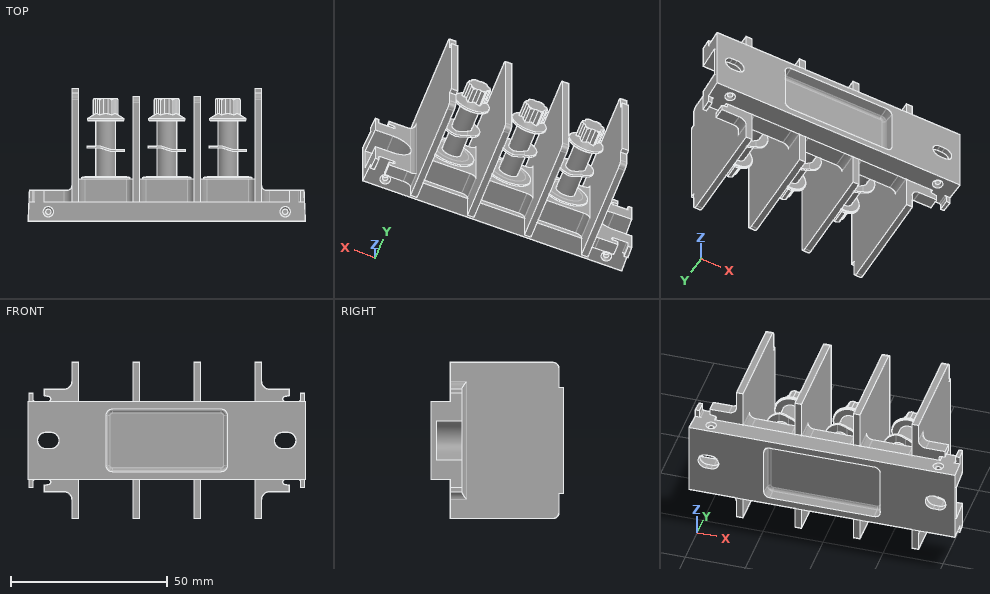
import cadquery as cq
import math


BASE_LENGTH = 88.7
BASE_DEPTH = 6.2
BASE_WIDTH = 25.0
END_DRAFT = 2.5
HALF_WIDTH = BASE_WIDTH / 2

POLE_PITCH = 19.5
POLE_COUNT = 3
BARRIER_THICKNESS = 2.2
BARRIER_WIDTH = 50.0
BARRIER_CORNER_RADIUS = 2.0
INNER_BARRIER_TOP = 40.0
OUTER_BARRIER_TOP = 41.0
TONGUE_TOP = 42.5
TONGUE_WIDTH = 34.0
OUTER_BARRIER_X = POLE_PITCH * POLE_COUNT / 2
OUTER_BARRIER_FACE = OUTER_BARRIER_X + BARRIER_THICKNESS / 2

POLE_BLOCK_TOP = 13.6
POLE_BLOCK_WIDTH = 20.0
POLE_BLOCK_FILLET = 2.0
POLE_GAP = POLE_PITCH - BARRIER_THICKNESS

FOOT_TOP = 10.0
FOOT_TOP_FILLET = 1.5
WING_END = 39.2
WING_Z = 16.4
WING_FILLET = 2.5
HOOK_TIP_Z = 14.3
NOTCH_DEPTH = 1.6
NOTCH_TOP_Z = 14.0
NOTCH_BULGE = 0.5
TAB_INNER_X = 42.7
TAB_Z = 15.1
TAB_FILLET = 0.5

SLOT_X = 37.85
SLOT_LENGTH = 6.8
SLOT_WIDTH = 5.1
RECESS_RADIUS = 6.25
RECESS_FLOOR = 1.9

SIDE_HOLE_DIAMETER = 1.7
SIDE_HOLE_DEPTH = 3.0
SIDE_SINK_DIAMETER = 3.3
SIDE_SINK_ANGLE = 90
SIDE_HOLE_Y = BASE_DEPTH / 2

POCKET_LENGTH = 38.8
POCKET_WIDTH = 20.0
POCKET_DEPTH = 4.0
POCKET_CORNER_RADIUS = 2.0
POCKET_TAPER = 7
POCKET_FLOOR_FILLET = 0.9

SEAT_RADIUS = 7.75
SEAT_CROWN_RADIUS = 5.9
SEAT_RIM_TOP = POLE_BLOCK_TOP + 0.5
SEAT_TOP = POLE_BLOCK_TOP + 0.8
SHANK_RADIUS = 3.2
FLANGE_RADIUS = 5.85
FLANGE_BOTTOM = 32.1
FLANGE_RIM_HEIGHT = 0.8
FLANGE_RIM_CHAMFER = 0.25
FLANGE_CONE_TOP = 34.8
FLANGE_CONE_TOP_RADIUS = 2.8
HEX_RADIUS = 4.0
HEX_SIDES = 6
HEX_APOTHEM = HEX_RADIUS * math.cos(math.pi / HEX_SIDES)
HEAD_TOP = 39.3
HEAD_CHAMFER_RADIAL = 0.3
HEAD_CHAMFER_HEIGHT = 0.5
FLUTE_HALF_WIDTH = 0.67
FLUTE_DEPTH = 0.3
FLUTE_RADIUS = (FLUTE_HALF_WIDTH**2 + FLUTE_DEPTH**2) / (2 * FLUTE_DEPTH)
FLUTE_CENTRE = HEX_APOTHEM - FLUTE_DEPTH + FLUTE_RADIUS

WASHER_RADIUS = 6.0
WASHER_THICKNESS = 0.6
WASHER_UPPER = 24.05
WASHER_LOWER = 22.95
WASHER_STEP_HALF = 1.7


def box(x_limits, y_limits, z_width):
    """Box between two X and two Y values, centred on Z = 0."""
    length = x_limits[1] - x_limits[0]
    depth = y_limits[1] - y_limits[0]
    block = cq.Workplane("XY").box(length, depth, z_width, centered=(False, False, True))
    return block.translate((x_limits[0], y_limits[0], 0))


def cylinder(radius, bottom, top):
    """Cylinder along Y on the line X = Z = 0."""
    return cq.Workplane("XZ", origin=(0, bottom, 0)).circle(radius).extrude(bottom - top)


def both_ends(part):
    """The left-hand feature together with its mirror image at the right-hand end."""
    return part.union(part.mirror("YZ"))


def end_x(y):
    """Distance from X = 0 to the drafted end faces of the base and feet at the given Y."""
    return BASE_LENGTH / 2 - y * math.tan(math.radians(END_DRAFT))


def base_bar():
    """Solid bar with drafted ends."""
    corners = [
        (-end_x(0), 0),
        (end_x(0), 0),
        (end_x(BASE_DEPTH), BASE_DEPTH),
        (-end_x(BASE_DEPTH), BASE_DEPTH),
    ]
    return cq.Workplane("XY").polyline(corners).close().extrude(HALF_WIDTH, both=True)


def barrier(x, top):
    """Plate from the back of the base up to Y = top, with its two far corners rounded."""
    half = BARRIER_THICKNESS / 2
    plate = box((x - half, x + half), (BASE_DEPTH, top), BARRIER_WIDTH)
    return plate.faces(">Y").edges("|X").fillet(BARRIER_CORNER_RADIUS)


def outer_barrier():
    """Left end barrier with a wide tongue on its far edge."""
    half = BARRIER_THICKNESS / 2
    x_limits = (-OUTER_BARRIER_X - half, -OUTER_BARRIER_X + half)
    tongue = box(x_limits, (BASE_DEPTH, TONGUE_TOP), TONGUE_WIDTH)
    return barrier(-OUTER_BARRIER_X, OUTER_BARRIER_TOP).union(tongue)


def corner_fillet(x, z, side):
    """Concave strip along Y that fills the corner of a pole block face and a barrier face."""
    r = POLE_BLOCK_FILLET
    sag = r * (1 - math.sqrt(0.5))
    strip = (
        cq.Workplane("XZ", origin=(0, BASE_DEPTH, 0))
        .moveTo(x, z)
        .lineTo(x + side * r, z)
        .threePointArc((x + side * sag, z + sag), (x, z + r))
        .close()
        .extrude(BASE_DEPTH - POLE_BLOCK_TOP)
    )
    return strip.union(strip.mirror("XY"))


def pole_block(x):
    """Block that fills the gap between two barriers, blended into both of them."""
    left = x - POLE_GAP / 2
    right = x + POLE_GAP / 2
    block = box((left, right), (BASE_DEPTH, POLE_BLOCK_TOP), POLE_BLOCK_WIDTH)
    block = block.union(corner_fillet(left, POLE_BLOCK_WIDTH / 2, 1))
    return block.union(corner_fillet(right, POLE_BLOCK_WIDTH / 2, -1))


def foot_side_profile():
    """XY outline of the left foot: a slab that curves up into the end barrier."""
    r = FOOT_TOP_FILLET
    sag = r * (1 - math.sqrt(0.5))
    face = -OUTER_BARRIER_FACE
    return (
        cq.Workplane("XY")
        .moveTo(-end_x(BASE_DEPTH), BASE_DEPTH)
        .lineTo(-end_x(FOOT_TOP), FOOT_TOP)
        .lineTo(face - r, FOOT_TOP)
        .threePointArc((face - sag, FOOT_TOP + sag), (face, FOOT_TOP + r))
        .lineTo(face, BASE_DEPTH)
        .close()
    )


def foot_half_plan():
    """XZ outline of the left foot for Z > 0, with the end tab and the hooked wing, ends undrafted."""
    face = -OUTER_BARRIER_FACE
    wing_sag = WING_FILLET * (1 - math.sqrt(0.5))
    tab_inner = -TAB_INNER_X
    tab_sag = TAB_FILLET * (1 - math.sqrt(0.5))
    notch_x = -WING_END + NOTCH_DEPTH
    notch_middle = (notch_x + NOTCH_BULGE, (NOTCH_TOP_Z + HALF_WIDTH) / 2)
    return (
        cq.Workplane("XZ", origin=(0, BASE_DEPTH, 0))
        .moveTo(-end_x(0), 0)
        .lineTo(-end_x(0), TAB_Z)
        .lineTo(tab_inner, TAB_Z)
        .lineTo(tab_inner, HALF_WIDTH + TAB_FILLET)
        .threePointArc((tab_inner + tab_sag, HALF_WIDTH + tab_sag), (tab_inner + TAB_FILLET, HALF_WIDTH))
        .lineTo(notch_x, HALF_WIDTH)
        .threePointArc(notch_middle, (notch_x, NOTCH_TOP_Z))
        .lineTo(-WING_END, HOOK_TIP_Z)
        .lineTo(-WING_END, WING_Z)
        .lineTo(face - WING_FILLET, WING_Z)
        .threePointArc((face - wing_sag, WING_Z + wing_sag), (face, WING_Z + WING_FILLET))
        .lineTo(face, 0)
        .close()
    )


def foot():
    """Left foot with a drafted end; its two concave blends meet in a mitre at the barrier."""
    slab = foot_side_profile().extrude(BARRIER_WIDTH / 2, both=True)
    half_plan = foot_half_plan().extrude(BASE_DEPTH - FOOT_TOP - FOOT_TOP_FILLET)
    plan = half_plan.union(half_plan.mirror("XY"))
    return slab.intersect(plan)


def mounting_cut():
    """Left mounting slot and the round-ended recess that opens to the end and the back."""
    slot = (
        cq.Workplane("XZ")
        .center(-SLOT_X, 0)
        .slot2D(SLOT_LENGTH, SLOT_WIDTH)
        .extrude(-BASE_DEPTH)
    )
    recess_top = FOOT_TOP + FOOT_TOP_FILLET
    round_end = cylinder(RECESS_RADIUS, RECESS_FLOOR, recess_top).translate((-SLOT_X, 0, 0))
    straight = box((-BASE_LENGTH / 2, -SLOT_X), (RECESS_FLOOR, recess_top), 2 * RECESS_RADIUS)
    return slot.union(round_end).union(straight)


def side_hole_cut():
    """Left pair of countersunk blind holes, one in each long side of the base."""
    sink_slope = math.tan(math.radians(SIDE_SINK_ANGLE / 2))
    sink_depth = (SIDE_SINK_DIAMETER - SIDE_HOLE_DIAMETER) / 2 / sink_slope
    hole = (
        cq.Workplane("XZ")
        .lineTo(SIDE_SINK_DIAMETER / 2, 0)
        .lineTo(SIDE_HOLE_DIAMETER / 2, -sink_depth)
        .lineTo(SIDE_HOLE_DIAMETER / 2, -SIDE_HOLE_DEPTH)
        .lineTo(0, -SIDE_HOLE_DEPTH)
        .close()
        .revolve(360, (0, 0, 0), (0, 1, 0))
        .translate((-SLOT_X, SIDE_HOLE_Y, HALF_WIDTH))
    )
    return hole.union(hole.mirror("XY"))


def pocket_cut():
    """Tapered pocket in the mounting face, rounded around its floor."""
    outline = cq.Sketch().rect(POCKET_LENGTH, POCKET_WIDTH).vertices().fillet(POCKET_CORNER_RADIUS)
    pocket = cq.Workplane("XZ").placeSketch(outline).extrude(-POCKET_DEPTH, taper=POCKET_TAPER)
    return pocket.faces(">Y").edges().fillet(POCKET_FLOOR_FILLET)


def screw_body():
    """Seat disc, shank and conical flange, turned about the Y axis."""
    rim_bottom_radius = FLANGE_RADIUS - FLANGE_RIM_CHAMFER
    return (
        cq.Workplane("XY")
        .moveTo(0, POLE_BLOCK_TOP)
        .lineTo(SEAT_RADIUS, POLE_BLOCK_TOP)
        .lineTo(SEAT_RADIUS, SEAT_RIM_TOP)
        .lineTo(SEAT_CROWN_RADIUS, SEAT_TOP)
        .lineTo(SHANK_RADIUS, SEAT_TOP)
        .lineTo(SHANK_RADIUS, FLANGE_BOTTOM)
        .lineTo(rim_bottom_radius, FLANGE_BOTTOM)
        .lineTo(FLANGE_RADIUS, FLANGE_BOTTOM + FLANGE_RIM_CHAMFER)
        .lineTo(FLANGE_RADIUS, FLANGE_BOTTOM + FLANGE_RIM_HEIGHT)
        .lineTo(FLANGE_CONE_TOP_RADIUS, FLANGE_CONE_TOP)
        .lineTo(0, FLANGE_CONE_TOP)
        .close()
        .revolve(360, (0, 0, 0), (0, 1, 0))
    )


def screw_head():
    """Hexagon head with chamfered corners and a round flute down each flat."""
    bottom = FLANGE_BOTTOM + FLANGE_RIM_HEIGHT
    start = cq.Workplane("XZ", origin=(0, bottom, 0))
    height = HEAD_TOP - bottom
    head = start.polygon(HEX_SIDES, 2 * HEX_RADIUS).extrude(-height)
    blank = cylinder(HEX_RADIUS, bottom, HEAD_TOP)
    blank = blank.faces(">Y").chamfer(HEAD_CHAMFER_HEIGHT, HEAD_CHAMFER_RADIAL)
    flutes = start.polarArray(FLUTE_CENTRE, 90, 360, HEX_SIDES).circle(FLUTE_RADIUS).extrude(-height)
    return head.intersect(blank).cut(flutes)


def spring_washer():
    """Round washer whose +X half sits lower than its -X half, joined by a slope."""
    t = WASHER_THICKNESS
    band = (
        cq.Workplane("XY")
        .moveTo(-WASHER_RADIUS, WASHER_UPPER)
        .lineTo(-WASHER_STEP_HALF, WASHER_UPPER)
        .lineTo(WASHER_STEP_HALF, WASHER_LOWER)
        .lineTo(WASHER_RADIUS, WASHER_LOWER)
        .lineTo(WASHER_RADIUS, WASHER_LOWER - t)
        .lineTo(WASHER_STEP_HALF, WASHER_LOWER - t)
        .lineTo(-WASHER_STEP_HALF, WASHER_UPPER - t)
        .lineTo(-WASHER_RADIUS, WASHER_UPPER - t)
        .close()
        .extrude(WASHER_RADIUS, both=True)
    )
    return band.intersect(cylinder(WASHER_RADIUS, WASHER_LOWER - t, WASHER_UPPER))


def terminal_screw(x):
    """One terminal screw with its washers, standing at the given X."""
    screw = screw_body().union(screw_head()).union(spring_washer())
    return screw.translate((x, 0, 0))


def build_housing(pole_positions):
    """Base, barriers, pole blocks and feet in one solid, less the pocket and the holes."""
    body = base_bar()
    for x in pole_positions:
        body = body.union(pole_block(x))
    for x in pole_positions[:-1]:
        body = body.union(barrier(x + POLE_PITCH / 2, INNER_BARRIER_TOP))
    body = body.union(both_ends(outer_barrier()))
    body = body.union(both_ends(foot()))
    body = body.cut(both_ends(mounting_cut()))
    body = body.cut(both_ends(side_hole_cut()))
    return body.cut(pocket_cut())


pole_positions = [(i - (POLE_COUNT - 1) / 2) * POLE_PITCH for i in range(POLE_COUNT)]
housing = build_housing(pole_positions)
screws = [terminal_screw(x) for x in pole_positions]

result = cq.Compound.makeCompound([housing.val(), *[screw.val() for screw in screws]])